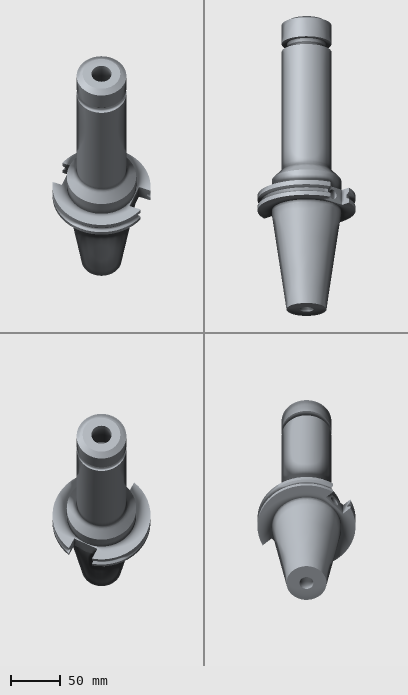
import cadquery as cq
import math

total_height = 304.8
taper_length = 101.5
flange_bottom = 105.0
flange_top = 120.7
hub_top = 136.5
shoulder_top = 145.7
shoulder_round_top = 148.5
body_top = 273.0
neck_top = 276.8
collar_bottom = 278.0
nut_bottom = 281.3
nut_chamfer_height = 3.5

gauge_diameter = 69.8
gauge_radius = gauge_diameter / 2
taper_ratio = 7 / 24
taper_end_radius = gauge_radius - taper_length * taper_ratio / 2
flange_diameter = 98.5
flange_radius = flange_diameter / 2
shoulder_radius = 26.2
body_radius = 25.0
neck_radius = 19.0
collar_radius = 19.8
nut_face_radius = 19.0

groove_radius = 45.7
groove_center = 112.5
groove_floor_width = 3.0
groove_mouth_width = groove_floor_width + 2 * (flange_radius - groove_radius) * math.tan(math.radians(30))

slot_width = 26.0
slot_floor_left = 37.8
slot_floor_right = 35.5
slot_hole_diameter = 10.0
slot_hole_depth = 9.0

bore_radius = 7.0
mouth_radius = 10.0
mouth_depth = 36.5


def turned_body():
    """Revolve the outer profile of taper, flange, hub, body and nut."""
    lower_profile = [
        (taper_end_radius, 0),
        (gauge_radius, taper_length),
        (gauge_radius, flange_bottom),
        (flange_radius, flange_bottom),
        (flange_radius, groove_center - groove_mouth_width / 2),
        (groove_radius, groove_center - groove_floor_width / 2),
        (groove_radius, groove_center + groove_floor_width / 2),
        (flange_radius, groove_center + groove_mouth_width / 2),
        (flange_radius, flange_top),
        (gauge_radius, flange_top),
        (gauge_radius, hub_top),
        (shoulder_radius, shoulder_top),
    ]
    upper_profile = [
        (body_radius, body_top),
        (neck_radius, body_top),
        (neck_radius, neck_top),
        (collar_radius, collar_bottom),
        (collar_radius, nut_bottom),
        (body_radius, nut_bottom),
        (body_radius, total_height - nut_chamfer_height),
        (nut_face_radius, total_height),
        (0, total_height),
    ]
    outline = cq.Workplane("XZ")
    for point in lower_profile:
        outline = outline.lineTo(*point)
    outline = outline.tangentArcPoint((body_radius, shoulder_round_top), relative=False)
    for point in upper_profile:
        outline = outline.lineTo(*point)
    return outline.close().revolve(360, (0, 0, 0), (0, 1, 0))


def drive_slot(side, floor):
    """Slot through the flange on the side -1 (-X) or +1 (+X)."""
    depth = flange_radius - floor
    return (
        cq.Workplane("XY", origin=(side * (floor + depth / 2), 0, flange_bottom))
        .box(depth, slot_width, flange_top - flange_bottom, centered=(True, True, False))
    )


def slot_hole():
    """Blind round hole in the floor of the -X slot."""
    return (
        cq.Workplane("YZ", origin=(-slot_floor_left, 0, (flange_bottom + flange_top) / 2))
        .circle(slot_hole_diameter / 2)
        .extrude(slot_hole_depth)
    )


def bore():
    """Through hole with its wider mouth at the nut end."""
    through_hole = cq.Workplane("XY").circle(bore_radius).extrude(total_height)
    mouth = (
        cq.Workplane("XY", origin=(0, 0, total_height - mouth_depth))
        .circle(mouth_radius)
        .extrude(mouth_depth)
    )
    return through_hole.union(mouth)


result = (
    turned_body()
    .cut(drive_slot(-1, slot_floor_left))
    .cut(drive_slot(1, slot_floor_right))
    .cut(slot_hole())
    .cut(bore())
)